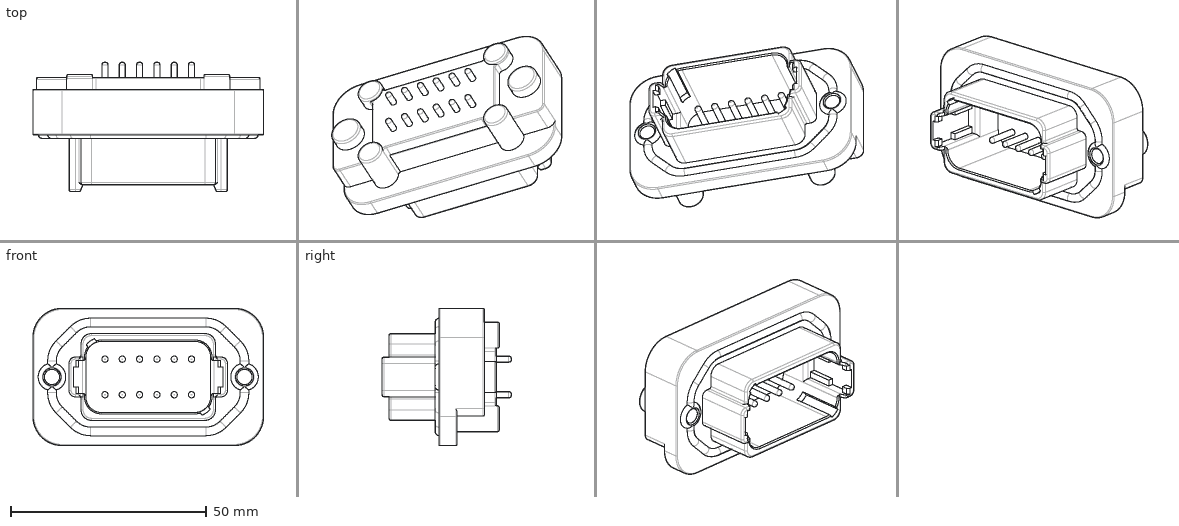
import cadquery as cq


length = 59.2
height = 35.2
corner_radius = 7.5
flange_back = 4.7
body_back = 11.65
body_bottom = -10.05
body_corner_radius = 1.95
edge_round = 0.3

plate_back = 14.75
plate_half_x = 17.15
plate_half_z = 10.0
plate_blend = 0.9
post_x = 17.6
post_z = 10.7
post_diameter = 6.7
post_back = 15.5
post_round = 0.5
sleeve_x = 24.7
sleeve_diameter = 8.0

seal_half_z = 14.0
seal_corner_cut = 7.35
seal_bend_radius = 6.3
bead_radius = 1.1
bead_height = 0.95
ring_radius = 2.4
dish_radius = 2.3
dish_floor_radius = 1.95
dish_depth = dish_radius - dish_floor_radius

shell_half_x = 17.2
shell_half_z = 11.1
shell_front = -12.8
shell_corner_radius = 2.65
rim_round = 0.55
cavity_half_x = 16.0
cavity_half_z = 9.1
cavity_corner_radius = 3.95
cavity_floor = 7.1
mouth_chamfer = 0.35

keyway_angle = 54.0
keyway_width = 2.6
keyway_depth = 1.0
keyway_end = -1.35
keyway_run_out = 0.7

latch_x = 20.3
latch_half_z = 5.1
latch_front = -14.55
latch_tip_x = 17.45
latch_root_x = 16.75
latch_round = 1.6
latch_blend = 0.55
channel_x = 19.2
channel_half_z = 4.2
channel_floor = -0.9
channel_lip_radius = 0.9
rail_x = 17.9
rail_inner_z = 2.55
rail_front = -7.5
nub_back = -12.55
nub_chamfer = 0.65

pin_columns = 6
pin_pitch = 4.45
pin_row_z = 4.55
pin_diameter = 1.6
pin_front = -1.4
pin_back = 18.65
pin_tip_round = 0.7

tiny = 0.005


def at_depth(y):
    """Workplane facing -Y at the given Y."""
    return cq.Workplane("XZ", origin=(0, y, 0))


def rounded_block(half_x, half_z, radius, back, front):
    block = at_depth(back).rect(2 * half_x, 2 * half_z).extrude(back - front)
    return block.edges("|Y").fillet(radius)


def cylinder(x, z, diameter, back, front):
    return at_depth(back).center(x, z).circle(diameter / 2).extrude(back - front)


def x_z_box(x0, x1, z0, z1, back, front):
    block = cq.Workplane("XY").box(x1 - x0, back - front, z1 - z0, centered=False)
    return block.translate((x0, front, z0))


def both_ends(solid):
    """The given solid together with its mirror image across the YZ plane."""
    return solid.union(solid.mirror("YZ"))


def make_flange_and_body():
    outline = rounded_block(length / 2, height / 2, corner_radius, body_back, 0)
    flange = rounded_block(length / 2, height / 2, corner_radius, flange_back, 0)
    flange = flange.faces("<Y or >Y").edges().fillet(edge_round)
    body_front = flange_back / 2
    above_step = x_z_box(-length / 2, length / 2, body_bottom, height / 2, body_back, body_front)
    above_step = above_step.edges("|Y and <Z").fillet(body_corner_radius)
    body = outline.intersect(above_step).faces(">Y").edges().fillet(edge_round)
    return flange.union(body)


def make_back_features():
    posts = [(x, z) for x in (-post_x, post_x) for z in (-post_z, post_z)]
    plate = x_z_box(-plate_half_x, plate_half_x, -plate_half_z, plate_half_z, plate_back, flange_back)
    for x, z in posts:
        plate = plate.union(cylinder(x, z, post_diameter, plate_back, flange_back))
    joints = plate.edges("|Y").edges(
        cq.selectors.BoxSelector((-post_x, 0, -post_z), (post_x, length, post_z))
    )
    plate = joints.fillet(plate_blend)
    features = plate.faces(">Y").edges().fillet(edge_round)
    for x, z in posts:
        post = cylinder(x, z, post_diameter, post_back, flange_back / 2)
        features = features.union(post.faces(">Y").edges().fillet(post_round))
    for x in (-sleeve_x, sleeve_x):
        sleeve = cylinder(x, 0, sleeve_diameter, plate_back, flange_back)
        features = features.union(sleeve.faces(">Y").edges().fillet(post_round))
    return features


def make_seal():
    bead_y = bead_radius - bead_height
    x_far = sleeve_x
    x_near = sleeve_x - seal_corner_cut
    z_near = seal_half_z - seal_corner_cut
    corners = [
        (x_near, seal_half_z), (x_far, z_near), (x_far, -z_near), (x_near, -seal_half_z),
        (-x_near, -seal_half_z), (-x_far, -z_near), (-x_far, z_near), (-x_near, seal_half_z),
    ]
    start = cq.Vector(0, bead_y, seal_half_z)
    points = [start] + [cq.Vector(x, bead_y, z) for x, z in corners]
    loop = cq.Wire.makePolygon(points, close=True)
    bends = [vertex for vertex in loop.Vertices() if abs(vertex.X) > x_near / 2]
    path = cq.Workplane("XY").newObject([loop.fillet2D(seal_bend_radius, bends)])
    seal = cq.Workplane("YZ").center(bead_y, seal_half_z).circle(bead_radius).sweep(path)
    for x in (-sleeve_x, sleeve_x):
        ring = (
            cq.Workplane("XY", origin=(x, bead_y, 0))
            .center(ring_radius, 0)
            .circle(bead_radius)
            .revolve(360, (-ring_radius, 0), (-ring_radius, 1))
        )
        centre = cylinder(x, 0, 2 * ring_radius, bead_height, -bead_height)
        dish = at_depth(-bead_height).center(x, 0).circle(dish_radius).extrude(-dish_depth, taper=45)
        seal = seal.union(ring).union(centre).cut(dish)
    return seal


def make_shell():
    shell = rounded_block(shell_half_x, shell_half_z, shell_corner_radius, 0, shell_front)
    latch_base = latch_x - latch_round
    shell = shell.union(x_z_box(-latch_base, latch_base, -latch_half_z, latch_half_z, 0, shell_front))
    middle_y = shell_front / 2
    corners = cq.selectors.BoxSelector(
        (-shell_half_x - tiny, middle_y - tiny, -latch_half_z - tiny),
        (shell_half_x + tiny, middle_y + tiny, latch_half_z + tiny),
    )
    shell = shell.edges("|Y").edges(corners).fillet(latch_blend)
    shell = shell.faces("<Y").edges().fillet(rim_round)
    latch = (
        cq.Workplane("XY", origin=(0, 0, -latch_half_z))
        .moveTo(latch_root_x, 0)
        .lineTo(latch_x, 0)
        .lineTo(latch_x, latch_front)
        .lineTo(latch_tip_x, latch_front)
        .lineTo(latch_root_x, shell_front)
        .close()
        .extrude(2 * latch_half_z)
    )
    latch = latch.edges("|Y and >X").fillet(latch_round)
    latch = latch.faces("<Y").edges().fillet(rim_round)
    return shell.union(both_ends(latch))


def make_cavity():
    """Space inside the shell and the latch housings, with rounded lips between the two."""
    cavity = rounded_block(cavity_half_x, cavity_half_z, cavity_corner_radius, cavity_floor, latch_front)
    channel = x_z_box(0, channel_x, -channel_half_z, channel_half_z, channel_floor, latch_front)
    cavity = cavity.union(both_ends(channel))
    for x in (-cavity_half_x, cavity_half_x):
        lip = cq.selectors.BoxSelector(
            (x - tiny, latch_front - tiny, -channel_half_z - tiny),
            (x + tiny, channel_floor + tiny, channel_half_z + tiny),
        )
        cavity = cavity.edges(lip).fillet(channel_lip_radius)
    return cavity


def make_mouth():
    """Chamfer around the front opening of the cavity."""
    half_x = cavity_half_x + mouth_chamfer
    half_z = cavity_half_z + mouth_chamfer
    front_radius = cavity_corner_radius + mouth_chamfer
    mouth = rounded_block(
        half_x, half_z, front_radius, shell_front + mouth_chamfer, shell_front - mouth_chamfer
    )
    return mouth.faces(">Y").edges().chamfer(mouth_chamfer)


def make_keyway():
    """Curved groove in the -X, +Z corner that runs out towards the floor of the cavity."""
    groove_radius = cavity_corner_radius + keyway_depth
    groove = (
        cq.Workplane("XY")
        .moveTo(0, shell_front)
        .lineTo(groove_radius, shell_front)
        .lineTo(groove_radius, keyway_end)
        .lineTo(cavity_corner_radius, keyway_end + keyway_run_out)
        .lineTo(0, keyway_end + keyway_run_out)
        .close()
        .revolve(360, (0, 0), (0, 1))
    )
    half_width = keyway_width / 2
    sector = x_z_box(0, groove_radius, -half_width, half_width, cavity_floor, shell_front)
    groove = groove.intersect(sector).rotate((0, 0, 0), (0, 1, 0), keyway_angle - 180)
    arc_x = cavity_half_x - cavity_corner_radius
    arc_z = cavity_half_z - cavity_corner_radius
    return groove.translate((-arc_x, 0, arc_z))


def make_rails_and_nubs():
    """Rails along the corners of the +X latch channel, each with a nub at the front in line with it."""
    parts = cq.Workplane("XY")
    for z in (-channel_half_z, rail_inner_z):
        z_top = z + channel_half_z - rail_inner_z
        nub = x_z_box(rail_x, channel_x, z, z_top, nub_back, latch_front)
        parts = parts.union(x_z_box(rail_x, channel_x, z, z_top, channel_floor, rail_front))
        parts = parts.union(nub.edges("|Z and <X and <Y").chamfer(nub_chamfer))
    return parts


def make_pins():
    pins = cq.Workplane("XY")
    for column in range(pin_columns):
        x = (column - (pin_columns - 1) / 2) * pin_pitch
        for z in (-pin_row_z, pin_row_z):
            pin = cylinder(x, z, pin_diameter, pin_back, pin_front)
            pins = pins.union(pin.faces("<Y or >Y").edges().fillet(pin_tip_round))
    return pins


keyway = make_keyway()
opposite_keyway = keyway.rotate((0, 0, 0), (0, 1, 0), 180)

result = make_flange_and_body().union(make_back_features()).union(make_seal()).union(make_shell())
result = result.cut(make_cavity()).cut(make_mouth()).cut(keyway).cut(opposite_keyway)
result = result.union(both_ends(make_rails_and_nubs())).union(make_pins())